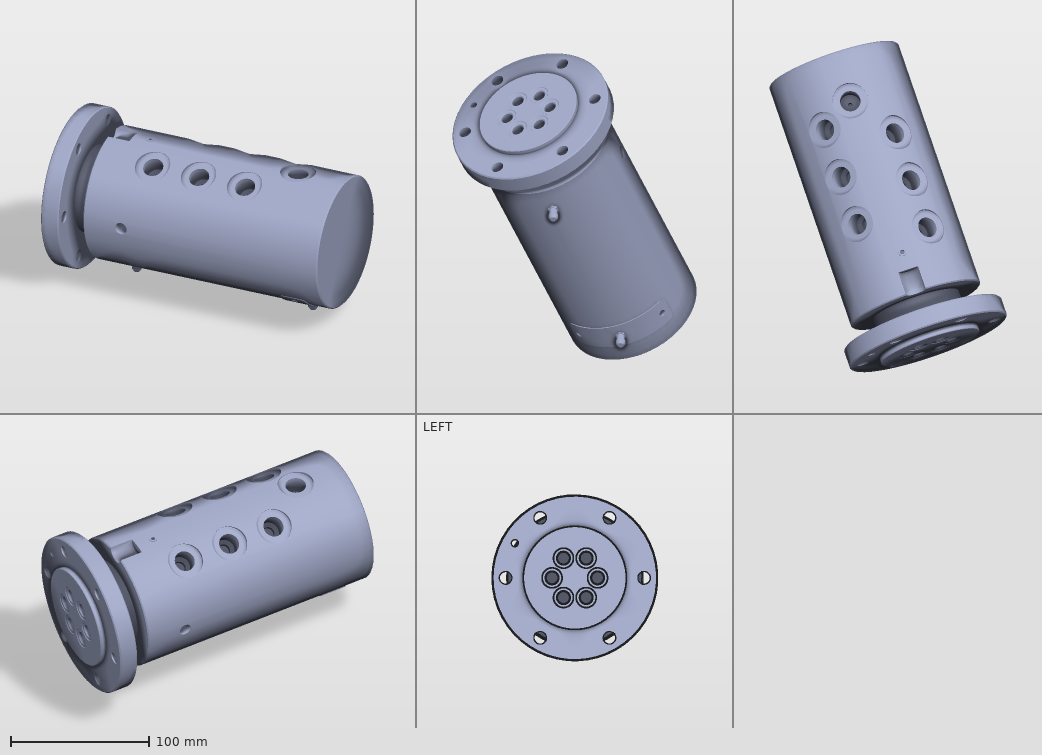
import cadquery as cq
import math

total_length = 219.5
flange_start, flange_end = 4.2, 18.2
body_start = 33.0
spigot_radius = 75.0 / 2
flange_radius = 120.0 / 2
neck_radius = 65.4 / 2
body_radius = 98.7 / 2
edge_chamfer = 0.9
spigot_chamfer = 0.5

bolt_circle_radius = 100.0 / 2
bolt_hole_diameter = 9.0
bolt_count = 6
pin_hole_diameter = 5.0
pin_hole_angle = 30

channel_circle_radius = 16.5
channel_diameter = 8.5
channel_lip_diameter = 10.0
seal_seat_floor_diameter = 14.0
seal_seat_mouth_diameter = 15.0
seal_seat_depth = 0.5

port_tilt = 30
port_count_per_row = 3
port_pitch = 36.6
first_port_x = 77.0
row_offset = port_pitch / 2
seat_diameter = 26.0
seat_radius_from_axis = 47.2
port_diameter = 15.0
port_depth = 13.5
drill_point_angle = 118
passage_diameter = 9.0
passage_end_radius = 57.5 / 2

vent_port_x = 181.7
vent_diameter = 3.0
vent_depth = 4.4

keyway_end = 50.5
keyway_diameter = 15.0
locator_x = 63.2
locator_diameter = 9.0
locator_depth = 6.5
screw_x = 63.8
screw_diameter = 6.0
screw_height = 0.5
socket_corner_diameter = 3.5
socket_depth = 2.2

nipple_positions = (53.0, 193.5)
nipple_end = flange_radius
nipple_root_depth = 2.2
nipple_hex_corner_diameter = 7.5
nipple_hex_height = 1.3
nipple_neck_radius = 6.0 / 2
nipple_bead_radius = 7.0 / 2
nipple_bead_start = 56.0
nipple_bead_end = 58.1
nipple_tip_radius = 4.4 / 2
plate_x = nipple_positions[1]
plate_width = 20.6
plate_radius = 50.0
plate_edge_height = 33.8
plate_corner_radius = 3.0
plate_hole_diameter = 5.0
plate_hole_tilt = 40
plate_hole_depth = 4.4


def axial_cylinder(start, end, radius):
    return cq.Workplane("YZ", origin=(start, 0, 0)).circle(radius).extrude(end - start)


def radial_plane(x, tilt, distance):
    """Plane at a distance from the axis, facing outward; tilt turns from +Z toward -Y."""
    angle = math.radians(tilt)
    outward = (0, -math.sin(angle), math.cos(angle))
    origin = (x, outward[1] * distance, outward[2] * distance)
    return cq.Workplane(cq.Plane(origin=origin, xDir=(1, 0, 0), normal=outward))


def turned_body():
    spigot = axial_cylinder(0, flange_start, spigot_radius).faces("<X").chamfer(spigot_chamfer)
    flange = axial_cylinder(flange_start, flange_end, flange_radius).faces("<X or >X").chamfer(edge_chamfer)
    neck = axial_cylinder(flange_end, body_start, neck_radius)
    body = axial_cylinder(body_start, total_length, body_radius).faces("<X or >X").chamfer(edge_chamfer)
    return spigot.union(flange).union(neck).union(body)


def flange_holes():
    flange_face = cq.Workplane("YZ", origin=(flange_start, 0, 0))
    thickness = flange_end - flange_start
    bolts = flange_face.polarArray(bolt_circle_radius, 0, 360, bolt_count)
    bolts = bolts.circle(bolt_hole_diameter / 2).extrude(thickness)
    pin = flange_face.polarArray(bolt_circle_radius, pin_hole_angle, 0, 1)
    pin = pin.circle(pin_hole_diameter / 2).extrude(thickness)
    return bolts.union(pin)


def port_stations():
    """X position and tilt of every port, nearest to the flange first."""
    stations = []
    for i in range(port_count_per_row):
        x = first_port_x + i * port_pitch
        stations.append((x, port_tilt))
        stations.append((x + row_offset, -port_tilt))
    return stations


def channel(index, end):
    """Axial bore with a chamfered lip, sunk in a shallow seal seat with a tapered rim."""
    bore_radius = channel_diameter / 2
    lip_radius = channel_lip_diameter / 2
    floor_radius = seal_seat_floor_diameter / 2
    lip_end = seal_seat_depth + lip_radius - bore_radius
    profile = [
        (0, 0),
        (0, seal_seat_mouth_diameter / 2),
        (seal_seat_depth, floor_radius),
        (seal_seat_depth, lip_radius),
        (lip_end, bore_radius),
        (end, bore_radius),
        (end, 0),
    ]
    angle = 2 * math.pi * index / (2 * port_count_per_row)
    y = channel_circle_radius * math.cos(angle)
    z = channel_circle_radius * math.sin(angle)
    bore = cq.Workplane("XY").polyline(profile).close().revolve(360, (0, 0), (1, 0))
    return bore.translate((0, y, z))


def port_seat(x, tilt):
    return radial_plane(x, tilt, seat_radius_from_axis).circle(seat_diameter / 2).extrude(body_radius)


def port(x, tilt):
    """Seat, bore with a conical drill point, and the narrower passage below it."""
    bore_radius = port_diameter / 2
    point_depth = bore_radius / math.tan(math.radians(drill_point_angle / 2))
    bore_end = seat_radius_from_axis - port_depth
    bore = radial_plane(x, tilt, bore_end).circle(bore_radius).extrude(port_depth)
    bottom = radial_plane(x, tilt, bore_end).plane
    point = cq.Workplane(cq.Solid.makeCone(bore_radius, 0, point_depth, bottom.origin, bottom.zDir * -1))
    passage = radial_plane(x, tilt, passage_end_radius).circle(passage_diameter / 2)
    passage = passage.extrude(bore_end - passage_end_radius)
    return port_seat(x, tilt).union(bore).union(point).union(passage)


def vent_port():
    seat_plane = radial_plane(vent_port_x, 0, seat_radius_from_axis)
    bore = seat_plane.circle(port_diameter / 2).extrude(-port_depth)
    vent = seat_plane.circle(vent_diameter / 2).extrude(-port_depth - vent_depth)
    return port_seat(vent_port_x, 0).union(bore).union(vent)


def keyway():
    slot = cq.Workplane("YZ", origin=(body_start, 0, body_radius))
    return slot.circle(keyway_diameter / 2).extrude(keyway_end - body_start)


def locating_hole():
    """Blind hole in the -Y side with a conical bottom."""
    radius = locator_diameter / 2
    point_depth = radius / math.tan(math.radians(drill_point_angle / 2))
    bottom = body_radius - locator_depth
    profile = [(0, body_radius), (radius, body_radius), (radius, bottom), (0, bottom - point_depth)]
    hole = cq.Workplane("XY").polyline(profile).close().revolve(360, (0, 0), (0, 1))
    return hole.rotate((0, 0, 0), (0, 0, 1), 180).translate((locator_x, 0, 0))


def set_screw():
    base = cq.Workplane("XY", origin=(screw_x, 0, body_radius - socket_depth))
    return base.circle(screw_diameter / 2).extrude(socket_depth + screw_height)


def screw_socket():
    top = cq.Workplane("XY", origin=(screw_x, 0, body_radius + screw_height))
    return top.polygon(6, socket_corner_diameter).extrude(-socket_depth)


def grease_nipple(x):
    """Hexagon collar, neck and tapered bead, pointing down from inside the body wall."""
    hex_end = plate_radius + nipple_hex_height
    root = body_radius - nipple_root_depth
    collar = radial_plane(x, 180, root).polygon(6, nipple_hex_corner_diameter).extrude(hex_end - root)
    profile = [
        (0, -root),
        (nipple_neck_radius, -root),
        (nipple_neck_radius, -nipple_bead_start),
        (nipple_bead_radius, -nipple_bead_start),
        (nipple_bead_radius, -nipple_bead_end),
        (nipple_tip_radius, -nipple_end),
        (0, -nipple_end),
    ]
    stem = cq.Workplane("XZ").polyline(profile).close().revolve(360, (0, 0), (0, 1))
    return collar.union(stem.translate((x, 0, 0)))


def name_plate():
    """Thin curved plate wrapped around the underside of the body."""
    half_width = plate_width / 2
    shell = axial_cylinder(plate_x - half_width, plate_x + half_width, plate_radius)
    half_span = math.sqrt(plate_radius**2 - plate_edge_height**2)
    front = cq.Workplane("XZ", origin=(plate_x, 0, -plate_edge_height - plate_radius / 2))
    outline = front.rect(plate_width, plate_radius).extrude(half_span * 2, both=True)
    outline = outline.edges("|Y and >Z").fillet(plate_corner_radius)
    return shell.intersect(outline)


def plate_hole(side):
    plane = radial_plane(plate_x, 180 + side * plate_hole_tilt, plate_radius)
    return plane.circle(plate_hole_diameter / 2).extrude(-plate_hole_depth)


part = turned_body()
part = part.union(name_plate())
part = part.cut(flange_holes())
for index, (x, tilt) in enumerate(port_stations()):
    part = part.cut(port(x, tilt))
    part = part.cut(channel(index, x))
part = part.cut(vent_port()).cut(keyway()).cut(locating_hole())
part = part.union(set_screw()).cut(screw_socket())
for x in nipple_positions:
    part = part.union(grease_nipple(x))
for side in (-1, 1):
    part = part.cut(plate_hole(side))

result = part